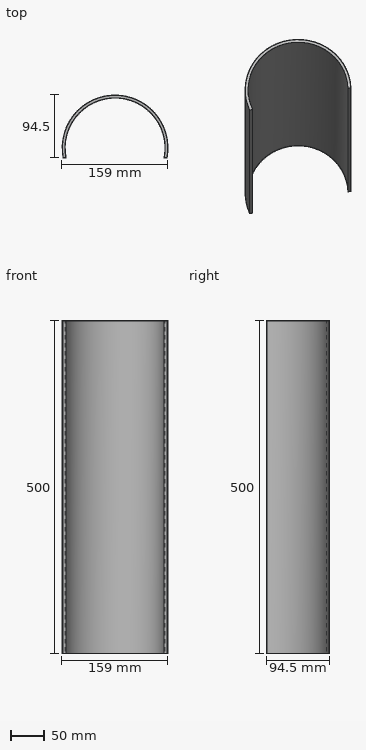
import cadquery as cq

length = 500.0
outer_radius = 79.5
wall = 4.5
depth = 94.5

inner_radius = outer_radius - wall
edge_y = outer_radius - depth

tube = cq.Workplane("XY").circle(outer_radius).circle(inner_radius).extrude(length)

opening = cq.Workplane("XY").box(
    2 * outer_radius, outer_radius, length, centered=(True, False, False)
).translate((0, edge_y - outer_radius, 0))

result = tube.cut(opening)